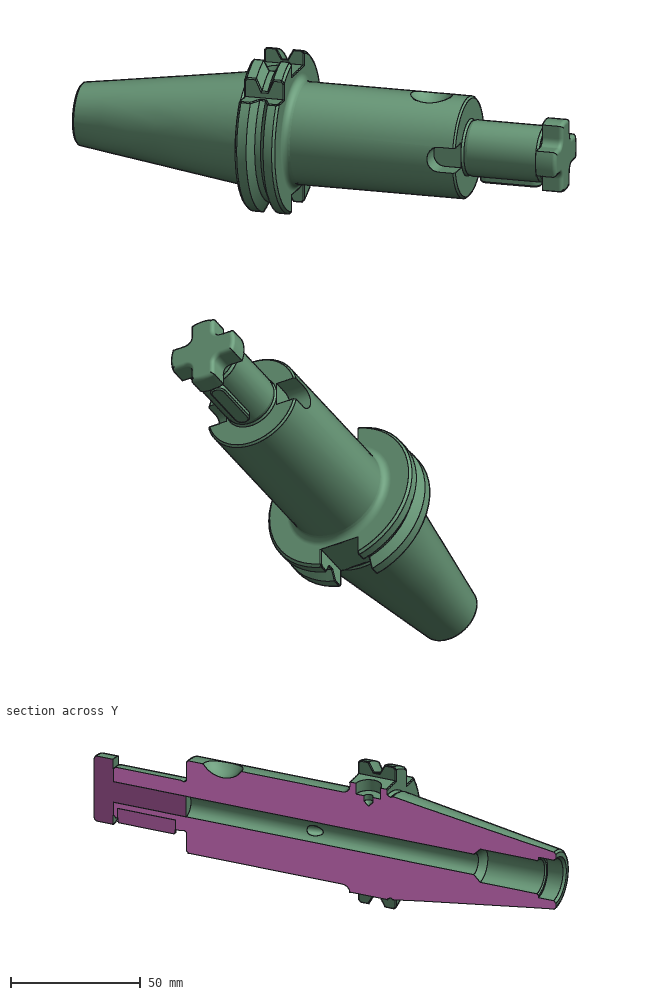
import cadquery as cq
import math


gauge_x = 69.0
flange_start_x = 71.3
flange_end_x = 87.3
body_end_x = 156.3
arbor_end_x = 187.2
overall_length = 195.4

taper_ratio = 7 / 48
taper_large_radius = 22.3
taper_small_radius = taper_large_radius - gauge_x * taper_ratio
taper_end_chamfer = 0.8
undercut_radius = 21.7
undercut_x = 70.0
flange_root_radius = 22.5

flange_radius = 31.7
flange_chamfer = 1.0
groove_x = 79.5
groove_bottom_radius = 27.7
groove_bottom_width = 2.3
groove_half_angle = 30
flange_fillet = 3.0

drive_slot_width = 16.0
top_slot_floor = 24.8
bottom_slot_floor = 22.7
notch_offset = 18.4
slot_edge_break = 0.4

chip_hole_x = 79.3
chip_hole_radius = 5.0
chip_hole_depth = 4.7
chip_pilot_radius = 1.8
chip_pilot_depth = 2.3

coolant_radius = 2.0
coolant_position_radius = 27.0
coolant_first_angle = 20
coolant_lean = 35

body_radius = 20.0
body_chamfer = 0.8
dimple_x = 141.0
dimple_radius = 9.8
dimple_center_z = 25.4
arbor_radius = 11.0
arbor_chamfer = 1.0
arbor_root_radius = 11.1
relief_radius = 10.5
relief_x = 157.3
relief_end_x = 158.7

cutter_slot_width = 10.0
cutter_slot_start_x = 145.4
cutter_slot_corner = 4.5
cutter_slot_floor = 11.1

bore_radius = 8.5
bore_depth = 7.5
bore_chamfer = 1.0
thread_radius = 7.0
thread_chamfer = 0.5
thread_depth = 32.0
screw_hole_radius = 4.3

key_start_x = 161.0
key_length = 24.5
key_width = 6.0
key_height = 6.0
key_outer_radius = 12.9
key_chamfer = 0.5

shank_start_x = 156.3
head_radius = 14.0
head_fillet = 1.5
lug_width = 10.0
lug_corner_radius = 3.0


def turned(profile):
    """Revolve a profile of (x, radius) around the X axis."""
    return profile.close().revolve(360, (0, 0, 0), (1, 0, 0))


def rod(start_x, end_x, radius):
    return cq.Workplane("YZ", origin=(start_x, 0, 0)).circle(radius).extrude(end_x - start_x)


def block(x_range, y_range, z_range):
    """Box between the given limits on each axis."""
    size = [high - low for low, high in (x_range, y_range, z_range)]
    corner = (x_range[0], y_range[0], z_range[0])
    return cq.Workplane("XY", origin=corner).box(*size, centered=False)


def holder_blank():
    """Taper, flange, body and arbor as one turned shape."""
    groove_bottom = groove_bottom_width / 2
    groove_flank = (flange_radius - groove_bottom_radius) * math.tan(math.radians(groove_half_angle))
    groove_top = groove_bottom + groove_flank
    fillet_middle = flange_fillet * (1 - math.sqrt(0.5))
    profile = (
        cq.Workplane("XY")
        .moveTo(0, 0)
        .lineTo(0, taper_small_radius - taper_end_chamfer)
        .lineTo(taper_end_chamfer, taper_small_radius + taper_end_chamfer * taper_ratio)
        .lineTo(gauge_x, taper_large_radius)
        .lineTo(undercut_x, undercut_radius)
        .lineTo(flange_start_x, flange_root_radius)
        .lineTo(flange_start_x, flange_radius - flange_chamfer)
        .lineTo(flange_start_x + flange_chamfer, flange_radius)
        .lineTo(groove_x - groove_top, flange_radius)
        .lineTo(groove_x - groove_bottom, groove_bottom_radius)
        .lineTo(groove_x + groove_bottom, groove_bottom_radius)
        .lineTo(groove_x + groove_top, flange_radius)
        .lineTo(flange_end_x - flange_chamfer, flange_radius)
        .lineTo(flange_end_x, flange_radius - flange_chamfer)
        .lineTo(flange_end_x, body_radius + flange_fillet)
        .threePointArc(
            (flange_end_x + fillet_middle, body_radius + fillet_middle),
            (flange_end_x + flange_fillet, body_radius),
        )
        .lineTo(body_end_x - body_chamfer, body_radius)
        .lineTo(body_end_x, body_radius - body_chamfer)
        .lineTo(body_end_x, arbor_root_radius)
        .lineTo(relief_x, relief_radius)
        .lineTo(relief_end_x, arbor_radius)
        .lineTo(arbor_end_x - arbor_chamfer, arbor_radius)
        .lineTo(arbor_end_x, arbor_radius - arbor_chamfer)
        .lineTo(arbor_end_x, 0)
    )
    return turned(profile)


def central_bore():
    """Stepped bore from the taper end, with a cone leading into the screw hole."""
    cone_length = thread_radius - screw_hole_radius
    profile = (
        cq.Workplane("XY")
        .moveTo(0, 0)
        .lineTo(0, bore_radius + bore_chamfer)
        .lineTo(bore_chamfer, bore_radius)
        .lineTo(bore_depth, bore_radius)
        .lineTo(bore_depth, thread_radius + thread_chamfer)
        .lineTo(bore_depth + thread_chamfer, thread_radius)
        .lineTo(thread_depth, thread_radius)
        .lineTo(thread_depth + cone_length, screw_hole_radius)
        .lineTo(arbor_end_x, screw_hole_radius)
        .lineTo(arbor_end_x, 0)
    )
    return turned(profile)


def flange_cuts():
    """Two drive slots of different depth and one square orientation notch."""
    flange_span = (flange_start_x, flange_end_x)
    slot_span = (-drive_slot_width / 2, drive_slot_width / 2)
    top_slot = block(flange_span, slot_span, (top_slot_floor, flange_radius))
    bottom_slot = block(flange_span, slot_span, (-flange_radius, -bottom_slot_floor))
    notch = block(flange_span, (-flange_radius, -notch_offset), (notch_offset, flange_radius))
    return [top_slot, bottom_slot, notch]


def flange_rim_boxes():
    """Thin boxes around the outer edges of the slot walls, the top slot floor and the notch."""
    slack = 0.1
    x_range = (flange_start_x - slack, flange_end_x + slack)
    half_slot = drive_slot_width / 2
    boxes = []
    for wall_y in (-half_slot, half_slot):
        wall = (wall_y - slack, wall_y + slack)
        boxes.append((x_range, wall, (top_slot_floor + slack, flange_radius)))
        boxes.append((x_range, wall, (-flange_radius, -bottom_slot_floor - slack)))
    top_floor = (top_slot_floor - slack, top_slot_floor + slack)
    boxes.append((x_range, (slack - half_slot, half_slot - slack), top_floor))
    notch_wall = (-notch_offset - slack, -notch_offset + slack)
    boxes.append((x_range, notch_wall, (notch_offset + slack, flange_radius)))
    notch_floor = (notch_offset - slack, notch_offset + slack)
    boxes.append((x_range, (-flange_radius, -notch_offset - slack), notch_floor))
    return boxes


def break_flange_edges(holder):
    """Chamfer the sharp edges that the slots and the notch leave in the flange."""
    edges = []
    for limits in flange_rim_boxes():
        low, high = zip(*limits)
        edges += holder.edges(cq.selectors.BoxSelector(low, high)).vals()
    return holder.newObject(edges).chamfer(slot_edge_break)


def chip_hole():
    """Flat round pocket with a small cone-ended pilot hole in its floor."""
    floor_z = top_slot_floor - chip_hole_depth
    pilot_z = floor_z - chip_pilot_depth
    profile = (
        cq.Workplane("XZ", origin=(chip_hole_x, 0, 0))
        .moveTo(0, top_slot_floor)
        .lineTo(chip_hole_radius, top_slot_floor)
        .lineTo(chip_hole_radius, floor_z)
        .lineTo(chip_pilot_radius, floor_z)
        .lineTo(chip_pilot_radius, pilot_z)
        .lineTo(0, pilot_z - chip_pilot_radius)
        .close()
    )
    return profile.revolve(360, (0, 0, 0), (0, 1, 0))


def coolant_hole(angle):
    """Hole leaning from the flange face to the central bore."""
    lean = math.radians(coolant_lean)
    length = coolant_position_radius / math.sin(lean)
    overrun = coolant_radius * math.tan(lean)
    direction = cq.Vector(math.cos(lean), -math.sin(lean), 0)
    entry = cq.Vector(flange_start_x, coolant_position_radius, 0)
    start = entry - direction * overrun
    hole = cq.Solid.makeCylinder(coolant_radius, length + overrun, start, direction)
    return cq.Workplane(hole.rotate(cq.Vector(0, 0, 0), cq.Vector(1, 0, 0), angle))


def cutter_slot(side):
    """Slot in the body end that drives the cutter; side is -1 or 1 along Y."""
    slot = block(
        (cutter_slot_start_x, body_end_x),
        (cutter_slot_floor, body_radius),
        (-cutter_slot_width / 2, cutter_slot_width / 2),
    )
    slot = slot.edges("|Y and <X").fillet(cutter_slot_corner)
    return slot if side > 0 else slot.rotate((0, 0, 0), (1, 0, 0), 180)


def make_key():
    """Round-ended feather key under the arbor."""
    key = (
        cq.Workplane("XY", origin=(key_start_x + key_length / 2, 0, -key_outer_radius))
        .slot2D(key_length, key_width)
        .extrude(key_height)
    )
    return key.faces("<Z").edges().chamfer(key_chamfer)


def make_screw():
    """Clamping screw whose head is a cross of four lugs with rounded inner corners."""
    head_span = (arbor_end_x, overall_length)
    half_lug = lug_width / 2
    corner_cut = block(head_span, (half_lug, head_radius), (half_lug, head_radius))
    corner_cut = corner_cut.edges("|X and <Y and <Z").fillet(lug_corner_radius)
    head = rod(*head_span, head_radius)
    for quarter in range(4):
        head = head.cut(corner_cut.rotate((0, 0, 0), (1, 0, 0), 90 * quarter))
    head = head.faces(">X").edges().fillet(head_fillet)
    return head.union(rod(shank_start_x, arbor_end_x, screw_hole_radius))


def make_holder(key):
    holder = holder_blank()
    for cut in flange_cuts():
        holder = holder.cut(cut)
    holder = break_flange_edges(holder)
    holder = holder.cut(central_bore()).cut(chip_hole())
    for angle in (coolant_first_angle, coolant_first_angle + 180):
        holder = holder.cut(coolant_hole(angle))
    for side in (-1, 1):
        holder = holder.cut(cutter_slot(side))
    dimple = cq.Workplane("XY", origin=(dimple_x, 0, dimple_center_z)).sphere(dimple_radius)
    return holder.cut(dimple).cut(key)


key = make_key()
screw = make_screw()
holder = make_holder(key)

result = cq.Compound.makeCompound([holder.val(), key.val(), screw.val()])